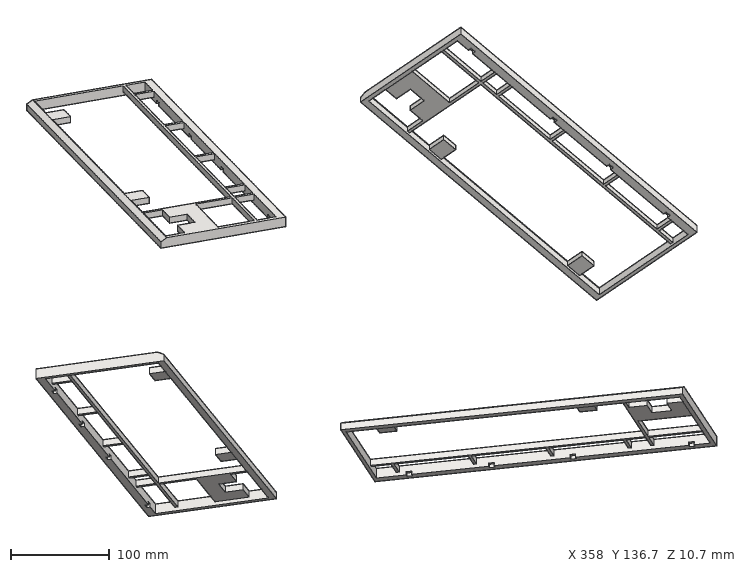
import cadquery as cq

LENGTH = 358.0
DEPTH = 136.7
HEIGHT = 10.7
FRONT_CHAMFER_DEPTH = 6.5
FRONT_CHAMFER_DROP = 3.5

LEFT_WALL = 4.0
RIGHT_WALL = 4.5
FRONT_RAIL = 7.0

MAIN_ROWS = 5
MAIN_COLUMNS = 15
NAV_COLUMNS = 3
NAV_ROWS = 2
FUNCTION_BLOCKS = [1, 4, 4, 4, 1, NAV_COLUMNS]
BLOCK_GAP_IN_KEYS = 0.25

CAP_CLEARANCE = 1.57
KEYS_ACROSS = MAIN_COLUMNS + BLOCK_GAP_IN_KEYS + NAV_COLUMNS
KEY_PITCH = (LENGTH - LEFT_WALL - RIGHT_WALL - CAP_CLEARANCE) / KEYS_ACROSS
BLOCK_GAP = BLOCK_GAP_IN_KEYS * KEY_PITCH

PLATE_THICKNESS = 6.8

TAB_WIDTH = 18.3
TAB_LENGTH = 19.7
TAB_COLUMNS = [2, 13]

NOTCH_WIDTH = 5.7
NOTCH_HEIGHT = 3.5
NOTCH_DEPTH = 3.5
NOTCH_CENTERS = [38.0, 124.0, 209.5, 333.5]

FUNCTION_ROW_Y = FRONT_RAIL + MAIN_ROWS * KEY_PITCH + BLOCK_GAP
NAV_X = LEFT_WALL + MAIN_COLUMNS * KEY_PITCH + BLOCK_GAP


def span(keys):
    """Clear opening for a run of keys."""
    return keys * KEY_PITCH + CAP_CLEARANCE


def block(x, y, z, width, depth, height):
    """Box placed by its lowest corner."""
    return cq.Workplane("XY").box(width, depth, height, centered=False).translate((x, y, z))


def key_opening(x, y, columns, rows):
    """Through opening for a rectangular group of keys."""
    return block(x, y, 0, span(columns), span(rows), HEIGHT)


def frame_body():
    """Solid bar stock with the sloped front edge."""
    return (
        cq.Workplane("YZ")
        .moveTo(0, 0)
        .lineTo(DEPTH, 0)
        .lineTo(DEPTH, HEIGHT)
        .lineTo(FRONT_CHAMFER_DEPTH, HEIGHT)
        .lineTo(0, HEIGHT - FRONT_CHAMFER_DROP)
        .close()
        .extrude(LENGTH)
    )


def clear_under_plates(body):
    """Relieve the underside of everything inside the border."""
    width = LENGTH - LEFT_WALL - RIGHT_WALL
    depth = FUNCTION_ROW_Y + span(1) - FRONT_RAIL
    return body.cut(block(LEFT_WALL, FRONT_RAIL, 0, width, depth, HEIGHT - PLATE_THICKNESS))


def cut_function_row(body):
    x = LEFT_WALL
    for keys in FUNCTION_BLOCKS:
        body = body.cut(key_opening(x, FUNCTION_ROW_Y, keys, 1))
        x += keys * KEY_PITCH + BLOCK_GAP
    return body


def cut_main_keys(body):
    """Main opening, leaving the tabs standing on the front rail."""
    opening = key_opening(LEFT_WALL, FRONT_RAIL, MAIN_COLUMNS, MAIN_ROWS)
    for column in TAB_COLUMNS:
        center = LEFT_WALL + CAP_CLEARANCE / 2 + column * KEY_PITCH
        opening = opening.cut(block(center - TAB_WIDTH / 2, FRONT_RAIL, 0, TAB_WIDTH, TAB_LENGTH, HEIGHT))
    return body.cut(opening)


def cut_navigation_keys(body):
    nav_y = FRONT_RAIL + (MAIN_ROWS - NAV_ROWS) * KEY_PITCH
    return body.cut(key_opening(NAV_X, nav_y, NAV_COLUMNS, NAV_ROWS))


def cut_arrow_keys(body):
    """Inverted T: a row of three keys with one more above the middle."""
    body = body.cut(key_opening(NAV_X, FRONT_RAIL, NAV_COLUMNS, 1))
    return body.cut(key_opening(NAV_X + KEY_PITCH, FRONT_RAIL, 1, 2))


def cut_notches(body):
    """Blind notches in the back rail, open to the function row and the underside."""
    back_wall = FUNCTION_ROW_Y + span(1)
    for center in NOTCH_CENTERS:
        body = body.cut(
            block(center - NOTCH_WIDTH / 2, back_wall, 0, NOTCH_WIDTH, NOTCH_DEPTH, NOTCH_HEIGHT)
        )
    return body


result = frame_body()
result = clear_under_plates(result)
result = cut_function_row(result)
result = cut_main_keys(result)
result = cut_navigation_keys(result)
result = cut_arrow_keys(result)
result = cut_notches(result)